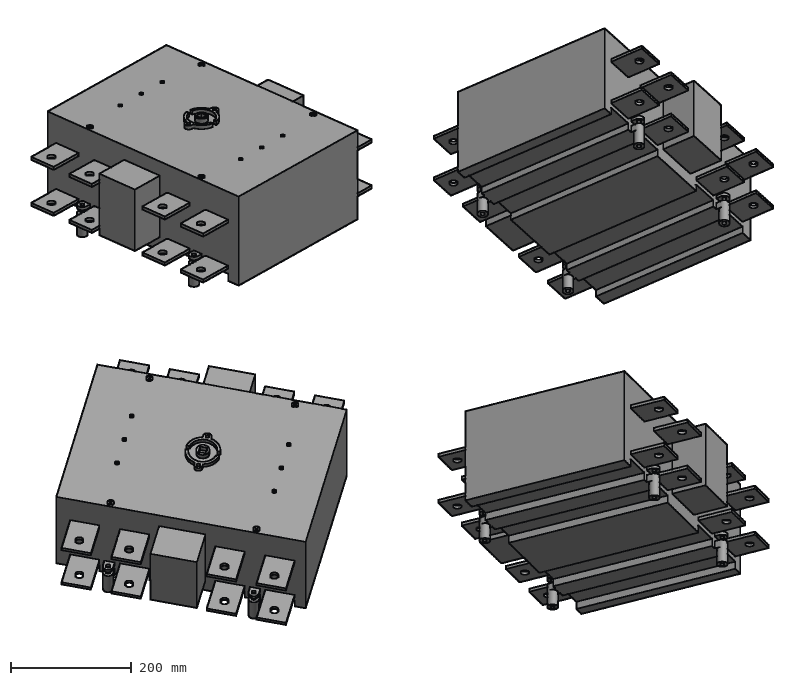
import cadquery as cq
import math

housing_length = 424.0
housing_depth = 295.0
housing_height = 170.0
housing_shift = 2.35

overall_depth = 419.0
overall_height = 207.0

terminal_x = (-165.8, -81.0, 81.0, 165.8)
terminal_width = 50.0
terminal_hole_diameter = 14.0
terminal_hole_y = 187.0
lower_terminal_bottom = 23.5
upper_terminal_bottom = 111.0
terminal_thickness = 6.0

notch_height = 13.5

block_width = 79.0
block_bottom = 25.5
block_top = 143.0

lug_x = 124.0
lug_y = 157.5
lug_diameter = 18.0
lug_hole_diameter = 7.0

corner_screw_y = 138.5
corner_recess_diameter = 11.0
side_screw_x = 133.5
side_screw_pitch = 52.0
side_recess_diameter = 6.8
pilot_diameter = 3.5
recess_depth = 1.5
pilot_depth = 8.5

collar_outer_radius = 29.3
collar_inner_radius = 24.0
collar_height = 7.0
collar_gap = 8.5
ear_y = 32.0
ear_diameter = 14.0
ear_hole_diameter = 6.0
ear_fillet = 2.5
boss_diameter = 22.0
boss_height = 9.0
socket_side = 12.5
socket_depth = boss_height

foot_length = overall_height - housing_height - boss_height


def block(width, depth, bottom, top):
    """Box centred on the shaft axis between two Z levels."""
    return cq.Workplane("XY", origin=(0, 0, bottom)).box(
        width, depth, top - bottom, centered=(True, True, False)
    )


def cylinders(points, diameter, bottom, top):
    """Upright cylinders at the given XY points."""
    return (
        cq.Workplane("XY", origin=(0, 0, bottom))
        .pushPoints(points)
        .circle(diameter / 2)
        .extrude(top - bottom)
    )


def mirrored(x, y):
    """The four points at +-x, +-y."""
    return [(sx * x, sy * y) for sx in (-1, 1) for sy in (-1, 1)]


def make_housing():
    housing = block(housing_length, housing_depth, 0, housing_height)
    housing = housing.translate((housing_shift, 0, 0))
    for x in terminal_x:
        notch = block(terminal_width, housing_depth, 0, notch_height)
        housing = housing.cut(notch.translate((x, 0, 0)))
    return housing


def make_terminals(bottom):
    top = bottom + terminal_thickness
    bar = block(terminal_width, overall_depth, bottom, top)
    ends = [(0, -terminal_hole_y), (0, terminal_hole_y)]
    bar = bar.cut(cylinders(ends, terminal_hole_diameter, bottom, top))
    bars = bar.translate((terminal_x[0], 0, 0))
    for x in terminal_x[1:]:
        bars = bars.union(bar.translate((x, 0, 0)))
    return bars


def make_lugs(bottom, top):
    """Round-ended straps that stick out of both long faces."""
    strap = (
        cq.Workplane("XY", origin=(0, 0, bottom))
        .slot2D(2 * lug_y + lug_diameter, lug_diameter, 90)
        .extrude(top - bottom)
    )
    return strap.translate((-lug_x, 0, 0)).union(strap.translate((lug_x, 0, 0)))


def make_collar():
    top = housing_height + collar_height
    ears = [(0, -ear_y), (0, ear_y)]
    collar = cylinders([(0, 0)], 2 * collar_outer_radius, housing_height, top)
    collar = collar.union(cylinders(ears, ear_diameter, housing_height, top))

    corner_y = (collar_outer_radius**2 - (ear_diameter / 2) ** 2 + ear_y**2) / (2 * ear_y)
    corner_x = math.sqrt(collar_outer_radius**2 - corner_y**2)
    for x, y in mirrored(corner_x, corner_y):
        corner = cq.selectors.NearestToPointSelector((x, y, (housing_height + top) / 2))
        collar = collar.edges("|Z").edges(corner).fillet(ear_fillet)

    collar = collar.cut(cylinders([(0, 0)], 2 * collar_inner_radius, housing_height, top))
    collar = collar.cut(cylinders(ears, ear_hole_diameter, housing_height, top))
    return collar.cut(block(2 * collar_outer_radius, collar_gap, housing_height, top))


def make_boss():
    top = housing_height + boss_height
    boss = cylinders([(0, 0)], boss_diameter, housing_height, top)
    return boss.cut(block(socket_side, socket_side, top - socket_depth, top))


def make_recesses(points, recess_diameter):
    """Stepped screw holes in the top face."""
    recess = cylinders(points, recess_diameter, housing_height - recess_depth, housing_height)
    pilot = cylinders(points, pilot_diameter, housing_height - pilot_depth, housing_height)
    return recess.union(pilot)


lug_points = mirrored(lug_x, lug_y)
corner_screws = mirrored(lug_x, corner_screw_y)
side_screws = [(sx * side_screw_x, row * side_screw_pitch) for sx in (-1, 1) for row in (-1, 0, 1)]
lower_terminal_top = lower_terminal_bottom + terminal_thickness

result = (
    make_housing()
    .union(make_terminals(lower_terminal_bottom))
    .union(make_terminals(upper_terminal_bottom))
    .union(block(block_width, overall_depth, block_bottom, block_top))
    .union(make_lugs(0, notch_height))
    .union(make_lugs(lower_terminal_bottom, lower_terminal_top))
    .union(cylinders(lug_points, lug_diameter, -foot_length, notch_height))
    .union(make_collar())
    .union(make_boss())
    .cut(cylinders(lug_points, lug_hole_diameter, -foot_length, lower_terminal_top))
    .cut(make_recesses(corner_screws, corner_recess_diameter))
    .cut(make_recesses(side_screws, side_recess_diameter))
)